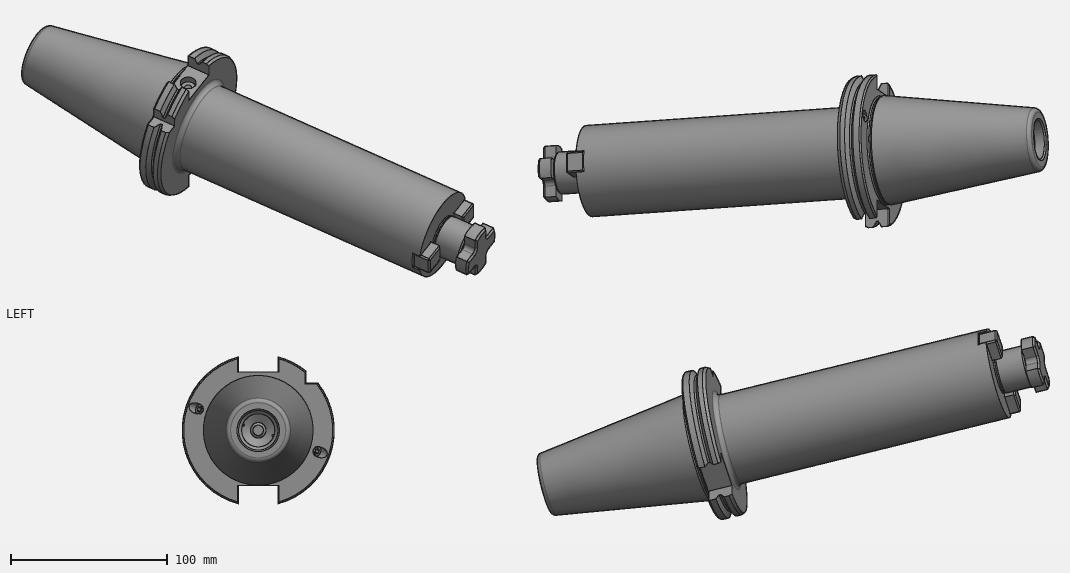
import cadquery as cq
import math


TOTAL_LENGTH = 330.8
TAPER_LENGTH = 102.0
RELIEF_LENGTH = 3.0
FLANGE_THICKNESS = 16.0
HEAD_THICKNESS = 9.0
PILOT_LENGTH = 20.2
FLANGE_START = TAPER_LENGTH + RELIEF_LENGTH
FLANGE_END = FLANGE_START + FLANGE_THICKNESS
FLANGE_MIDDLE = (FLANGE_START + FLANGE_END) / 2
PILOT_END = TOTAL_LENGTH - HEAD_THICKNESS
NOSE_FACE = PILOT_END - PILOT_LENGTH

TAPER_RATIO = 7 / 24
GAUGE_RADIUS = 70.0 / 2
SMALL_END_RADIUS = GAUGE_RADIUS - TAPER_LENGTH * TAPER_RATIO / 2
SMALL_END_FILLET = 3.0
RELIEF_DEPTH = 0.5
RELIEF_WALL = 1.0
FLANGE_RADIUS = 97.2 / 2
FLANGE_FRONT_CHAMFER = 1.0
FLANGE_BACK_CHAMFER_LENGTH = 2.0
FLANGE_BACK_CHAMFER_DEPTH = 1.0
GROOVE_FLOOR_WIDTH = 1.3
GROOVE_DEPTH = 3.5
GROOVE_WALL_ANGLE = math.radians(30)

BODY_RADIUS = 58.5 / 2
BODY_FILLET = 3.3
PILOT_RADIUS = 27.0 / 2
PILOT_CHAMFER = 1.0
UNDERCUT_LENGTH = 2.0
UNDERCUT_DEPTH = 0.3

SLOT_WIDTH = 25.0
SLOT_EDGE_CHAMFER = 0.5
TOP_SLOT_FLOOR = 37.5
BOTTOM_SLOT_FLOOR = 35.5
NOTCH_SIDE = 30.5
NOTCH_FLOOR = 30.0
RECESS_RADIUS = 5.0
RECESS_DEPTH = 4.5
RECESS_POINT_RADIUS = 2.3

MOUTH_RADIUS = 13.5
BORE_RADIUS = 12.5
BORE_DEPTH = 7.3
THREAD_RADIUS = 10.5
THREAD_END = 134.0
PASSAGE_RADIUS = 5.0
DRILL_POINT_SLOPE = math.tan(math.radians(30))

SCREW_RADIUS = 12.0 / 2
SCREW_LENGTH = 30.0
SCREW_TIP_RADIUS = 3.3
SCREW_TIP_CHAMFER = SCREW_RADIUS - SCREW_TIP_RADIUS
SCREW_START = PILOT_END - SCREW_LENGTH
HEAD_RADIUS = 35.7 / 2
HEAD_ARM_WIDTH = 13.0
HEAD_CORNER_FILLET = 3.0
HEAD_CHAMFER = 1.3

KEY_WIDTH = 13.5
KEY_SEAT_DEPTH = 5.3
KEY_PROJECTION = 7.0
KEY_INNER = 14.2
KEY_OUTER = 28.0
KEY_CHAMFER = 1.0

COOLANT_TURN = 19.6
COOLANT_TILT = math.radians(45)
COOLANT_MOUTH_RADIUS = 42.0
COOLANT_HOLE_RADIUS = 2.0
PLUG_RADIUS = 3.3
PLUG_LENGTH = 6.0
PLUG_DEPTH = 3.0
PLUG_SOCKET_WIDTH = 3.3
PLUG_SOCKET_DEPTH = 3.0

SIDES = (1, -1)


def revolve_about_x(points):
    """Turn a closed outline of (x, radius) points about the X axis."""
    return cq.Workplane("XZ").polyline(points).close().revolve(360, (0, 0, 0), (1, 0, 0))


def cylinder_along_x(radius, start, end):
    return cq.Workplane("YZ", origin=(start, 0, 0)).circle(radius).extrude(end - start)


def block(x_range, y_range, z_range):
    """Box between the given limits on each axis."""
    ranges = (x_range, y_range, z_range)
    sizes = [high - low for low, high in ranges]
    low_corner = tuple(low for low, high in ranges)
    return cq.Workplane("XY").box(*sizes, centered=False).translate(low_corner)



def holder_blank():
    """Turned outside: taper, relief, flange, body and pilot."""
    relief_radius = GAUGE_RADIUS - RELIEF_DEPTH
    undercut_radius = PILOT_RADIUS - UNDERCUT_DEPTH
    fillet_offset = BODY_FILLET * (1 - math.sqrt(0.5))
    blank = (
        cq.Workplane("XZ")
        .moveTo(0, 0)
        .lineTo(0, SMALL_END_RADIUS)
        .lineTo(TAPER_LENGTH, GAUGE_RADIUS)
        .lineTo(TAPER_LENGTH + RELIEF_WALL, relief_radius)
        .lineTo(FLANGE_START - RELIEF_WALL, relief_radius)
        .lineTo(FLANGE_START, GAUGE_RADIUS)
        .lineTo(FLANGE_START, FLANGE_RADIUS - FLANGE_FRONT_CHAMFER)
        .lineTo(FLANGE_START + FLANGE_FRONT_CHAMFER, FLANGE_RADIUS)
        .lineTo(FLANGE_END - FLANGE_BACK_CHAMFER_LENGTH, FLANGE_RADIUS)
        .lineTo(FLANGE_END, FLANGE_RADIUS - FLANGE_BACK_CHAMFER_DEPTH)
        .lineTo(FLANGE_END, BODY_RADIUS + BODY_FILLET)
        .threePointArc(
            (FLANGE_END + fillet_offset, BODY_RADIUS + fillet_offset),
            (FLANGE_END + BODY_FILLET, BODY_RADIUS),
        )
        .lineTo(NOSE_FACE, BODY_RADIUS)
        .lineTo(NOSE_FACE, undercut_radius)
        .lineTo(NOSE_FACE + UNDERCUT_LENGTH / 2, undercut_radius)
        .lineTo(NOSE_FACE + UNDERCUT_LENGTH, PILOT_RADIUS)
        .lineTo(PILOT_END - PILOT_CHAMFER, PILOT_RADIUS)
        .lineTo(PILOT_END, PILOT_RADIUS - PILOT_CHAMFER)
        .lineTo(PILOT_END, 0)
        .close()
        .revolve(360, (0, 0, 0), (1, 0, 0))
    )
    return blank.faces("<X").edges().fillet(SMALL_END_FILLET)


def gripper_groove():
    """Ring with sloped walls that cuts the groove in the flange rim."""
    floor_half = GROOVE_FLOOR_WIDTH / 2
    rim_half = floor_half + GROOVE_DEPTH * math.tan(GROOVE_WALL_ANGLE)
    floor_radius = FLANGE_RADIUS - GROOVE_DEPTH
    return revolve_about_x([
        (FLANGE_MIDDLE - floor_half, floor_radius),
        (FLANGE_MIDDLE + floor_half, floor_radius),
        (FLANGE_MIDDLE + rim_half, FLANGE_RADIUS),
        (FLANGE_MIDDLE - rim_half, FLANGE_RADIUS),
    ])


def flange_cutter(y_low, y_high, z_low, z_high, floor_flare=0):
    """Block through the flange, flared as an edge chamfer at the taper-side face."""
    y_range = (y_low, y_high)
    z_range = (z_low, z_high)
    cutter = block((FLANGE_START, FLANGE_END), y_range, z_range)
    width = y_high - y_low
    height = z_high - z_low
    flare = (
        cq.Workplane("YZ", origin=(FLANGE_START, (y_low + y_high) / 2, (z_low + z_high) / 2))
        .rect(width + 2 * SLOT_EDGE_CHAMFER, height + 2 * floor_flare)
        .workplane(offset=SLOT_EDGE_CHAMFER)
        .rect(width, height)
        .loft(ruled=True)
    )
    return cutter.union(flare)


def drive_slots():
    """Two slots of different depth at the top and bottom of the flange."""
    slot_half = SLOT_WIDTH / 2
    top = flange_cutter(-slot_half, slot_half, TOP_SLOT_FLOOR, FLANGE_RADIUS)
    bottom = flange_cutter(-slot_half, slot_half, -FLANGE_RADIUS, -BOTTOM_SLOT_FLOOR)
    return top.union(bottom)


def orientation_notch():
    """Corner cut from the flange rim between +Z and -Y."""
    return flange_cutter(
        -FLANGE_RADIUS, -NOTCH_SIDE, NOTCH_FLOOR, FLANGE_RADIUS, floor_flare=SLOT_EDGE_CHAMFER
    )


def slot_recess():
    """Flat recess in the floor of the top slot, with a conical point at its center."""
    floor = cq.Workplane("XY", origin=(FLANGE_MIDDLE, 0, TOP_SLOT_FLOOR))
    recess = floor.circle(RECESS_RADIUS).extrude(-RECESS_DEPTH)
    point = cq.Workplane(cq.Solid.makeCone(
        RECESS_POINT_RADIUS,
        0,
        RECESS_POINT_RADIUS,
        pnt=cq.Vector(FLANGE_MIDDLE, 0, TOP_SLOT_FLOOR - RECESS_DEPTH),
        dir=cq.Vector(0, 0, -1),
    ))
    return recess.union(point)


def center_bore():
    """Stepped bore from the small end, then a passage up to the clamping screw."""
    mouth_chamfer = MOUTH_RADIUS - BORE_RADIUS
    step = BORE_RADIUS - THREAD_RADIUS
    point_length = (THREAD_RADIUS - PASSAGE_RADIUS) * DRILL_POINT_SLOPE
    return revolve_about_x([
        (0, 0),
        (0, MOUTH_RADIUS),
        (mouth_chamfer, BORE_RADIUS),
        (BORE_DEPTH, BORE_RADIUS),
        (BORE_DEPTH + step, THREAD_RADIUS),
        (THREAD_END, THREAD_RADIUS),
        (THREAD_END + point_length, PASSAGE_RADIUS),
        (SCREW_START + SCREW_TIP_CHAMFER, PASSAGE_RADIUS),
        (SCREW_START + SCREW_TIP_CHAMFER, 0),
    ])


def key_seats():
    """Slot across the nose face on both sides of the pilot."""
    seats = cq.Workplane("XY")
    for side in SIDES:
        y_range = sorted((side * KEY_INNER, side * FLANGE_RADIUS))
        seats = seats.union(block(
            (NOSE_FACE - KEY_SEAT_DEPTH, NOSE_FACE),
            y_range,
            (-KEY_WIDTH / 2, KEY_WIDTH / 2),
        ))
    return seats


def coolant_plane(side):
    """Work plane at a coolant hole mouth, its normal pointing down the hole."""
    turn = math.radians(COOLANT_TURN)
    out_y = side * math.cos(turn)
    out_z = side * math.sin(turn)
    inward = math.sin(COOLANT_TILT)
    return cq.Workplane(cq.Plane(
        origin=(FLANGE_START, COOLANT_MOUTH_RADIUS * out_y, COOLANT_MOUTH_RADIUS * out_z),
        xDir=(0, -out_z, out_y),
        normal=(math.cos(COOLANT_TILT), -inward * out_y, -inward * out_z),
    ))


def coolant_hole(side):
    """Plug bore at the flange face and the narrower hole that runs on to the center bore."""
    mouth = coolant_plane(side)
    plug_end = PLUG_DEPTH + PLUG_LENGTH
    overrun = 2 * PLUG_RADIUS
    plug_bore = mouth.workplane(offset=-overrun).circle(PLUG_RADIUS).extrude(plug_end + overrun)
    reach = (COOLANT_MOUTH_RADIUS - PASSAGE_RADIUS - COOLANT_HOLE_RADIUS) / math.sin(COOLANT_TILT)
    passage = mouth.circle(COOLANT_HOLE_RADIUS).extrude(reach)
    flange_side = cylinder_along_x(FLANGE_RADIUS, FLANGE_START, NOSE_FACE)
    return plug_bore.union(passage).intersect(flange_side)


def make_holder():
    holder = (
        holder_blank()
        .cut(gripper_groove())
        .cut(drive_slots())
        .cut(orientation_notch())
        .cut(slot_recess())
        .cut(center_bore())
        .cut(screw_shank())
        .cut(key_seats())
    )
    for side in SIDES:
        holder = holder.cut(coolant_hole(side))
    return holder



def screw_shank():
    """Shank with a chamfered tip, ending at the pilot end face."""
    return revolve_about_x([
        (SCREW_START, 0),
        (SCREW_START, SCREW_TIP_RADIUS),
        (SCREW_START + SCREW_TIP_CHAMFER, SCREW_RADIUS),
        (PILOT_END, SCREW_RADIUS),
        (PILOT_END, 0),
    ])


def screw_head():
    """Cross of four arms with rounded inner corners, trimmed round and chamfered at the free end."""
    arm_half = HEAD_ARM_WIDTH / 2
    x_range = (PILOT_END, TOTAL_LENGTH)
    long_side = (-HEAD_RADIUS, HEAD_RADIUS)
    short_side = (-arm_half, arm_half)
    cross = block(x_range, long_side, short_side).union(block(x_range, short_side, long_side))
    corner_reach = arm_half + HEAD_CORNER_FILLET / 2
    inner_corners = cq.selectors.BoxSelector(
        (PILOT_END, -corner_reach, -corner_reach),
        (TOTAL_LENGTH, corner_reach, corner_reach),
    )
    cross = cross.edges("|X").edges(inner_corners).fillet(HEAD_CORNER_FILLET)
    head = cross.intersect(cylinder_along_x(HEAD_RADIUS, PILOT_END, TOTAL_LENGTH))
    return head.faces(">X").chamfer(HEAD_CHAMFER)


def make_clamping_screw():
    return screw_shank().union(screw_head())



def make_drive_key(side):
    """Key seated in the nose face, chamfered around its free end and its outer face."""
    y_range = sorted((side * KEY_INNER, side * KEY_OUTER))
    key = block(
        (NOSE_FACE - KEY_SEAT_DEPTH, NOSE_FACE + KEY_PROJECTION),
        y_range,
        (-KEY_WIDTH / 2, KEY_WIDTH / 2),
    )
    outer_face = ">Y" if side > 0 else "<Y"
    return key.faces(f">X or {outer_face}").edges().chamfer(KEY_CHAMFER)



def make_coolant_plug(side):
    """Set screw with a hexagon socket, sunk in the coolant hole."""
    outer_end = coolant_plane(side).workplane(offset=PLUG_DEPTH)
    plug = outer_end.circle(PLUG_RADIUS).extrude(PLUG_LENGTH)
    corner_diameter = PLUG_SOCKET_WIDTH / math.cos(math.radians(30))
    socket = outer_end.polygon(6, corner_diameter).extrude(PLUG_SOCKET_DEPTH)
    return plug.cut(socket)


holder = make_holder()
clamping_screw = make_clamping_screw()
drive_keys = [make_drive_key(side) for side in SIDES]
coolant_plugs = [make_coolant_plug(side) for side in SIDES]

bodies = [holder, clamping_screw, *drive_keys, *coolant_plugs]
result = cq.Compound.makeCompound([body.val() for body in bodies])